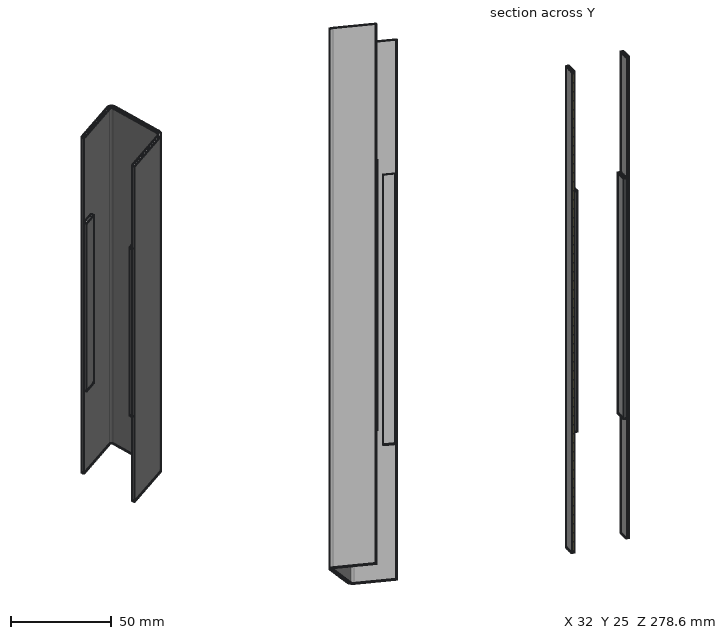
import cadquery as cq

LENGTH = 278.6
WIDTH = 32.0
DEPTH = 25.0
WALL = 1.45
INNER_BEND_RADIUS = 1.25
OUTER_BEND_RADIUS = INNER_BEND_RADIUS + WALL

STRIP_LENGTH = LENGTH / 2
STRIP_WIDTH = 6.5
STRIP_THICKNESS = 1.55


def bent_outline(width, depth, bend_radius):
    """Solid running the full length, rounded along its two back edges."""
    block = cq.Workplane("XY").box(width, depth, LENGTH, centered=(True, False, False))
    return block.edges("|Z and >Y").fillet(bend_radius)


def make_channel():
    outside = bent_outline(WIDTH, DEPTH, OUTER_BEND_RADIUS)
    inside = bent_outline(WIDTH - 2 * WALL, DEPTH - WALL, INNER_BEND_RADIUS)
    return outside.cut(inside)


def make_strip(side):
    """Strip against one side wall, flush with its free edge; side is -1 or +1 along X."""
    center_x = side * (WIDTH / 2 - WALL - STRIP_THICKNESS / 2)
    return (
        cq.Workplane("XY")
        .box(STRIP_THICKNESS, STRIP_WIDTH, STRIP_LENGTH, centered=(True, False, True))
        .translate((center_x, 0, LENGTH / 2))
    )


channel = make_channel()
strips = [make_strip(side) for side in (-1, 1)]

result = cq.Compound.makeCompound([channel.val(), *[strip.val() for strip in strips]])